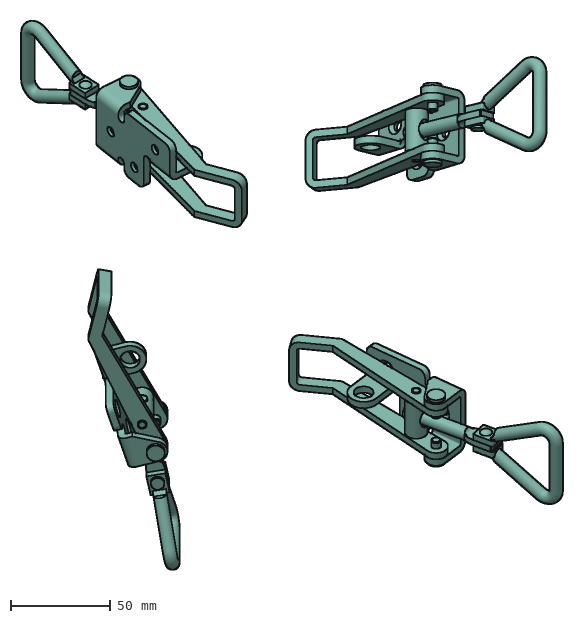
import cadquery as cq
import math


sheet = 4.0
bend_outer = 5.0
bend_inner = bend_outer - sheet

pivot_y = 16.4
pivot_round = 6.0

ear_outer_z = 19.2
ear_inner_z = ear_outer_z - sheet
ear_end_x = 12.1
ear_corner_y = 7.8
notch_width = 4.8
notch_bottom_z = 11.6
tab_start_x = ear_end_x + notch_width
tab_outer_z = 20.4
tab_corner = 4.0
long_tab_end_x = 54.3
short_tab_end_x = 33.1
screw_radius = 2.7
screw_land = 2.0
screw_places = [(6.0, 0), (25.2, -11.0), (42.0, 11.0)]

eye_start_x = short_tab_end_x + notch_width
eye_outer_z = -2.3
eye_bend_z = eye_outer_z + bend_outer
eye_radius = (long_tab_end_x - eye_start_x) / 2
eye_x = long_tab_end_x - eye_radius
eye_height = 25.0
eye_hole_radius = 5.0

lever_outer_z = ear_inner_z
lever_inner_z = lever_outer_z - sheet
lever_bend_x = 71.4
lever_bend_low = -14.0
lever_bend_high = -6.6
grip_angle = 28.8
grip_length = 26.0
grip_corner = 5.6

rivet_head_radius = 4.6
rivet_head_height = 1.7
rivet_shank_radius = 2.5
rivet_inner_z = 7.3
rivet_chamfer = 0.5

trunnion_x = 14.9
trunnion_y = pivot_y - 2.7
trunnion_radius = 5.8
trunnion_half_length = 10.8
journal_radius = 2.3
journal_chamfer = 0.5
countersink_radius = 5.5
countersink_angle = 120

pull_tilt = 6.0

rod_radius = 3.6
rod_end = trunnion_radius
tongue_thickness = 3.5
tongue_half_thickness = tongue_thickness / 2
tongue_width = 9.8
tongue_half_width = tongue_width / 2
tongue_start = -47.5
taper_start = -37.8
taper_end = -30.8
run_out_radius = 1.8
run_out_start = -32.1
tongue_chamfer = 0.5

wire_radius = 3.5
crossbar_x = -83.3
crossbar_half_length = 14.7
loop_bend = 6.3
arm_slope = 28.4
arm_end = -48.0
arm_step_z = 7.6
arm_toe = -46.2
cheek_start = -48.7
cheek_end = -37.0
cheek_outer_z = 5.3
cheek_corner = 0.8

loop_pin_x = -41.6
loop_pin_radius = 3.1
loop_pin_head_radius = 3.5
loop_pin_head_height = 1.3
dome_height = 1.5


def block(x0, x1, y0, y1, z0, z1):
    """Box between two opposite corners."""
    return cq.Workplane("XY").box(x1 - x0, y1 - y0, z1 - z0, centered=False).translate((x0, y0, z0))


def cylinder_z(x, y, radius, z0, z1):
    """Cylinder along Z."""
    return cq.Workplane("XY", origin=(x, y, z0)).circle(radius).extrude(z1 - z0)


def cylinder_y(x, z, radius, height):
    """Cylinder along Y, standing on the mounting face."""
    return cq.Workplane("XZ", origin=(x, 0, z)).circle(radius).extrude(-height)


def tangent_point(x, y, side):
    """Point where the line from (x, y) touches the pivot round; side is 1 above, -1 below."""
    dy = y - pivot_y
    angle = math.atan2(dy, x) + side * math.acos(pivot_round / math.hypot(x, dy))
    return pivot_round * math.cos(angle), pivot_y + pivot_round * math.sin(angle)


def place_on_pull_axis(body):
    """Move a body from its own axis to the tilted axis through the trunnion."""
    return body.rotate((0, 0, 0), (0, 0, 1), pull_tilt).translate((trunnion_x, trunnion_y, 0))


def make_ears():
    """U-shaped channel whose two sides are trimmed to the ear outline."""
    height = pivot_y + pivot_round
    channel = block(-pivot_round, ear_end_x, 0, height, -ear_outer_z, ear_outer_z)
    channel = channel.edges("|X and <Y").fillet(bend_outer)
    inside = block(-pivot_round, ear_end_x, sheet, height, -ear_inner_z, ear_inner_z)
    channel = channel.cut(inside.edges("|X and <Y").fillet(bend_inner))
    outline = (
        cq.Workplane("XY", origin=(0, 0, -ear_outer_z))
        .moveTo(-pivot_round, 0)
        .lineTo(ear_end_x, 0)
        .lineTo(ear_end_x, ear_corner_y)
        .lineTo(*tangent_point(ear_end_x, ear_corner_y, 1))
        .threePointArc((0, pivot_y + pivot_round), (-pivot_round, pivot_y))
        .close()
        .extrude(2 * ear_outer_z)
    )
    return channel.intersect(outline)


def make_padlock_eye():
    """Lug with a round top and hole, joined to the plate by a bend."""
    strip = block(eye_start_x, long_tab_end_x, 0, eye_height, eye_outer_z, tab_outer_z)
    strip = strip.edges("|X and <Y and <Z").fillet(bend_outer)
    inside = block(eye_start_x, long_tab_end_x, sheet, eye_height, eye_outer_z + sheet, tab_outer_z)
    strip = strip.cut(inside.edges("|X and <Y and <Z").fillet(bend_inner))
    eye_y = eye_height - eye_radius
    outline = block(eye_start_x, long_tab_end_x, 0, eye_y, eye_outer_z, eye_bend_z)
    outline = outline.union(cylinder_z(eye_x, eye_y, eye_radius, eye_outer_z, eye_bend_z))
    hole = cylinder_z(eye_x, eye_y, eye_hole_radius, eye_outer_z, eye_bend_z)
    return strip.intersect(outline).cut(hole)


def make_screw_hole(x, z):
    """Cutter for a straight hole that opens into a 90 degree countersink on the inner side of the sheet."""
    cone_depth = sheet - screw_land
    cone = cq.Solid.makeCone(
        screw_radius, screw_radius + cone_depth, cone_depth, cq.Vector(x, screw_land, z), cq.Vector(0, 1, 0)
    )
    return cylinder_y(x, z, screw_radius, sheet).union(cone)


def make_base():
    """Mounting plate with two ears, two tabs and the padlock eye."""
    long_tab = block(tab_start_x, long_tab_end_x, 0, sheet, eye_bend_z, tab_outer_z)
    long_tab = long_tab.edges("|Y and >Z").fillet(tab_corner)
    short_tab = block(tab_start_x, short_tab_end_x, 0, sheet, -tab_outer_z, eye_bend_z)
    short_tab = short_tab.edges("|Y and <Z").fillet(tab_corner)
    notch_radius = notch_width / 2
    notch_z = notch_bottom_z + notch_radius
    web = block(ear_end_x, tab_start_x, 0, sheet, -notch_z, notch_z)
    relief_web = block(short_tab_end_x, eye_start_x, 0, sheet, 0, eye_bend_z)
    base = make_ears().union(web).union(short_tab).union(long_tab).union(relief_web)
    base = base.union(make_padlock_eye())
    notch_x = ear_end_x + notch_radius
    relief_x = short_tab_end_x + notch_radius
    for x, z in [(notch_x, notch_z), (notch_x, -notch_z), (relief_x, 0)]:
        base = base.cut(cylinder_y(x, z, notch_radius, sheet))
    for x, z in screw_places:
        base = base.cut(make_screw_hole(x, z))
    return base


def grip_frame_block(end, half_width, corner):
    """Block in line with the grip: it ends `end` past the lower bend corner and has rounded end corners."""
    reach = 2 * lever_bend_x
    body = block(-reach, end, -reach, reach, -half_width, half_width)
    body = body.edges("|Y and >X").fillet(corner)
    body = body.rotate((0, 0, 0), (0, 0, 1), grip_angle)
    return body.translate((lever_bend_x, pivot_y + lever_bend_low, 0))


def make_lever():
    """Bent U-shaped lever: two tapering arms joined by a crossbar at the grip end."""
    along = (math.cos(math.radians(grip_angle)), math.sin(math.radians(grip_angle)))
    rise = lever_bend_high - lever_bend_low
    low_y = pivot_y + lever_bend_low
    high_y = pivot_y + lever_bend_high
    high_length = grip_length - rise * along[1]
    outline = (
        cq.Workplane("XY", origin=(0, 0, -lever_outer_z))
        .moveTo(*tangent_point(lever_bend_x, low_y, -1))
        .lineTo(lever_bend_x, low_y)
        .lineTo(lever_bend_x + grip_length * along[0], low_y + grip_length * along[1])
        .lineTo(lever_bend_x + high_length * along[0], high_y + high_length * along[1])
        .lineTo(lever_bend_x, high_y)
        .lineTo(*tangent_point(lever_bend_x, high_y, 1))
        .threePointArc((-pivot_round, pivot_y), tangent_point(lever_bend_x, low_y, -1))
        .close()
        .extrude(2 * lever_outer_z)
    )
    lever = outline.intersect(grip_frame_block(grip_length, lever_outer_z, grip_corner))
    lever = lever.cut(grip_frame_block(grip_length - sheet, lever_inner_z, grip_corner - sheet))
    return lever.cut(cylinder_z(trunnion_x, trunnion_y, journal_radius, -lever_outer_z, lever_outer_z))


def make_rivet(side):
    """Headed rivet through one ear and one lever arm; side is 1 for +Z, -1 for -Z."""
    shank = cylinder_z(0, pivot_y, rivet_shank_radius, rivet_inner_z, ear_outer_z)
    shank = shank.faces("<Z").chamfer(rivet_chamfer)
    head_top = ear_outer_z + rivet_head_height
    rivet = shank.union(cylinder_z(0, pivot_y, rivet_head_radius, ear_outer_z, head_top))
    return rivet if side > 0 else rivet.mirror("XY")


def make_trunnion():
    """Cross pin with two journals and a countersunk cross hole for the rod."""
    journals = cylinder_z(0, 0, journal_radius, -lever_outer_z, lever_outer_z)
    journals = journals.faces("<Z or >Z").chamfer(journal_chamfer)
    body = cylinder_z(0, 0, trunnion_radius, -trunnion_half_length, trunnion_half_length)
    cross_hole = cq.Workplane("YZ", origin=(-trunnion_radius, 0, 0)).circle(rod_radius)
    cross_hole = cross_hole.extrude(2 * trunnion_radius)
    depth = countersink_radius / math.tan(math.radians(countersink_angle / 2))
    countersink = cq.Solid.makeCone(
        countersink_radius, 0, depth, cq.Vector(-trunnion_radius, 0, 0), cq.Vector(1, 0, 0)
    )
    return place_on_pull_axis(body.union(journals).cut(cross_hole).cut(countersink))


def make_loop_pin():
    """Pin with a flat head below the cheeks and a domed end above them."""
    shank = cylinder_z(loop_pin_x, 0, loop_pin_radius, -cheek_outer_z, cheek_outer_z)
    head_bottom = -cheek_outer_z - loop_pin_head_height
    pin = shank.union(cylinder_z(loop_pin_x, 0, loop_pin_head_radius, head_bottom, -cheek_outer_z))
    sphere_radius = (loop_pin_radius**2 + dome_height**2) / (2 * dome_height)
    sphere_z = cheek_outer_z + dome_height - sphere_radius
    sphere = cq.Workplane("XY").sphere(sphere_radius).translate((loop_pin_x, 0, sphere_z))
    dome = cylinder_z(loop_pin_x, 0, loop_pin_radius, cheek_outer_z, cheek_outer_z + dome_height)
    return place_on_pull_axis(pin.union(dome.intersect(sphere)))


def loop_pin_hole():
    """Cutter for the pin hole through the cheeks and the tongue."""
    return cylinder_z(loop_pin_x, 0, loop_pin_radius, -cheek_outer_z, cheek_outer_z)


def make_rod():
    """Round rod whose front end is a flat tongue, tapering to the rod width along two arcs."""
    run = taper_end - taper_start
    drop = tongue_half_width - rod_radius
    taper_radius = (run**2 + drop**2) / (2 * drop)
    mid_x = taper_start + run / 2
    mid_y = tongue_half_width - taper_radius + math.sqrt(taper_radius**2 - (run / 2) ** 2)
    tongue = (
        cq.Workplane("XY", origin=(0, 0, -tongue_half_thickness))
        .moveTo(tongue_start, tongue_half_width - tongue_chamfer)
        .lineTo(tongue_start + tongue_chamfer, tongue_half_width)
        .lineTo(taper_start, tongue_half_width)
        .threePointArc((mid_x, mid_y), (taper_end, rod_radius))
        .lineTo(taper_end, -rod_radius)
        .threePointArc((mid_x, -mid_y), (taper_start, -tongue_half_width))
        .lineTo(tongue_start, -tongue_half_width)
        .close()
        .extrude(tongue_thickness)
    )
    shaft = cq.Workplane("YZ", origin=(run_out_start, 0, 0)).circle(rod_radius)
    shaft = shaft.extrude(rod_end - run_out_start)
    run_out_z = tongue_half_thickness + run_out_radius
    for z in (run_out_z, -run_out_z):
        cutter = cq.Workplane("XZ", origin=(run_out_start, rod_radius, z)).circle(run_out_radius)
        shaft = shaft.cut(cutter.extrude(2 * rod_radius))
    return place_on_pull_axis(shaft.union(tongue).cut(loop_pin_hole()))


def make_pull_loop():
    """Triangular wire loop whose arms end in two cheeks that straddle the tongue."""
    slope = math.radians(arm_slope)
    bend_x = crossbar_x + loop_bend
    bend_end_x = bend_x + loop_bend * math.sin(slope)
    bend_end_z = crossbar_half_length + loop_bend * math.cos(slope)
    mid_angle = (math.pi / 2 - slope) / 2
    bend_mid_x = bend_x - loop_bend * math.sin(mid_angle)
    bend_mid_z = crossbar_half_length + loop_bend * math.cos(mid_angle)
    tip_x = cheek_end
    tip_z = bend_end_z - (tip_x - bend_end_x) * math.tan(slope)
    path = (
        cq.Workplane("XZ")
        .moveTo(tip_x, tip_z)
        .lineTo(bend_end_x, bend_end_z)
        .threePointArc((bend_mid_x, bend_mid_z), (crossbar_x, crossbar_half_length))
        .lineTo(crossbar_x, -crossbar_half_length)
        .threePointArc((bend_mid_x, -bend_mid_z), (bend_end_x, -bend_end_z))
        .lineTo(tip_x, -tip_z)
    )
    arm_direction = (-math.cos(slope), 0, math.sin(slope))
    start = cq.Plane(origin=(tip_x, 0, tip_z), xDir=(0, 1, 0), normal=arm_direction)
    wire = cq.Workplane(start).circle(wire_radius).sweep(path)

    beyond_arms = (
        cq.Workplane("XZ", origin=(0, tongue_half_width, 0))
        .moveTo(arm_end, bend_end_z)
        .lineTo(arm_end, arm_step_z)
        .lineTo(arm_toe, cheek_outer_z)
        .lineTo(arm_toe, -cheek_outer_z)
        .lineTo(arm_end, -arm_step_z)
        .lineTo(arm_end, -bend_end_z)
        .lineTo(0, -bend_end_z)
        .lineTo(0, bend_end_z)
        .close()
        .extrude(tongue_width)
    )
    cheeks = block(
        cheek_start, cheek_end, -tongue_half_width, tongue_half_width, -cheek_outer_z, cheek_outer_z
    )
    cheeks = cheeks.edges("|Z and <X").fillet(cheek_corner)
    tongue_slot = block(
        cheek_start, 0, -tongue_half_width, tongue_half_width, -tongue_half_thickness, tongue_half_thickness
    )
    loop = wire.cut(beyond_arms).union(cheeks).cut(tongue_slot).cut(loop_pin_hole())
    return place_on_pull_axis(loop)


rivets = [make_rivet(side) for side in (1, -1)]
rivet_holes = cylinder_z(0, pivot_y, rivet_shank_radius, -ear_outer_z, ear_outer_z)
base = make_base().cut(rivet_holes)
lever = make_lever().cut(rivet_holes)
trunnion = make_trunnion()
rod = make_rod()
pull_loop = make_pull_loop()
loop_pin = make_loop_pin()

bodies = [base, lever, *rivets, trunnion, rod, pull_loop, loop_pin]
result = cq.Compound.makeCompound([body.solids().val() for body in bodies])